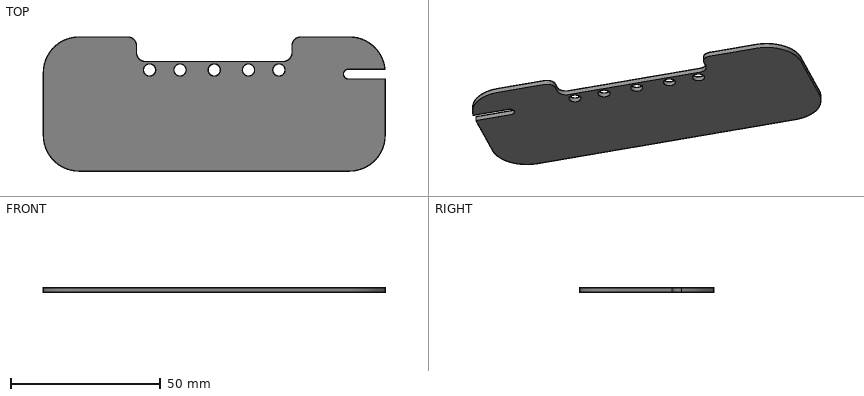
import cadquery as cq

length = 114.5
width = 45.0
thickness = 1.6
corner_radius = 12.0
top_edge = width / 2
right_edge = length / 2
bottom = -thickness / 2

notch_width = 52.0
notch_depth = 8.2
notch_radius = 3.0

hole_diameter = 4.0
hole_inner_offset = 11.5
hole_outer_offset = 21.6
hole_edge_distance = 11.1

slot_width = 3.2
slot_depth = 14.0
slot_edge_distance = 12.5


def make_plate():
    """Flat plate with four rounded corners."""
    plate = cq.Workplane("XY").box(length, width, thickness)
    return plate.edges("|Z").fillet(corner_radius)


def cut_notch(plate):
    """Cut the edge notch and round its two inner and two outer corners."""
    half_width = notch_width / 2
    floor = top_edge - notch_depth
    cutter = (
        cq.Workplane("XY")
        .center(0, top_edge)
        .box(notch_width, 2 * notch_depth, thickness)
    )
    corners = cq.selectors.BoxSelector(
        (-half_width - notch_radius, floor - notch_radius, -thickness),
        (half_width + notch_radius, top_edge + notch_radius, thickness),
    )
    return plate.cut(cutter).edges("|Z").edges(corners).fillet(notch_radius)


def cut_holes(plate):
    """Drill the row of five through holes."""
    offsets = (-hole_outer_offset, -hole_inner_offset, 0, hole_inner_offset, hole_outer_offset)
    hole_y = top_edge - hole_edge_distance
    drills = (
        cq.Workplane("XY", origin=(0, 0, bottom))
        .pushPoints([(x, hole_y) for x in offsets])
        .circle(hole_diameter / 2)
        .extrude(thickness)
    )
    return plate.cut(drills)


def cut_slot(plate):
    """Cut the slot; its outer rounded end lies beyond the plate edge."""
    cutter = (
        cq.Workplane("XY", origin=(0, 0, bottom))
        .center(right_edge, top_edge - slot_edge_distance)
        .slot2D(2 * slot_depth, slot_width)
        .extrude(thickness)
    )
    return plate.cut(cutter)


result = cut_slot(cut_holes(cut_notch(make_plate())))